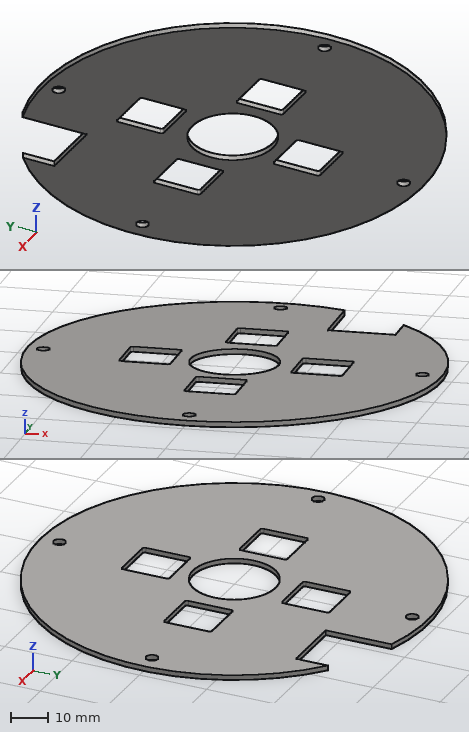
import cadquery as cq

disc_diameter = 114.9
thickness = 1.5
center_hole_diameter = 24.5

screw_hole_diameter = 3.5
near_hole_distance = 52.0
far_hole_distance = 52.9
screw_hole_places = [
    (near_hole_distance, 0),
    (0, far_hole_distance),
    (-far_hole_distance, 0),
    (0, -near_hole_distance),
]

window_size = 14.1
window_corner_radius = 0.7
window_distance = 23.8
window_pattern_x = 0.3
window_pattern_y = 0.7

notch_left = 17.2
notch_right = 36.0
notch_floor = 35.3


def rim_notch():
    """Block that cuts from the notch floor out past the rim."""
    width = notch_right - notch_left
    depth = disc_diameter / 2 - notch_floor
    return cq.Workplane("XY").box(width, depth, thickness, centered=False).translate(
        (notch_left, notch_floor, 0)
    )


def windows():
    """Square cutters with rounded corners."""
    return (
        cq.Workplane("XY")
        .center(window_pattern_x, window_pattern_y)
        .polarArray(window_distance, 0, 360, 4, rotate=False)
        .rect(window_size, window_size)
        .extrude(thickness)
        .edges("|Z")
        .fillet(window_corner_radius)
    )


disc = cq.Workplane("XY").circle(disc_diameter / 2).extrude(thickness)
disc = disc.faces(">Z").workplane(origin=(0, 0, 0)).hole(center_hole_diameter)
disc = (
    disc.faces(">Z")
    .workplane(origin=(0, 0, 0))
    .pushPoints(screw_hole_places)
    .hole(screw_hole_diameter)
)

result = disc.cut(windows()).cut(rim_notch())